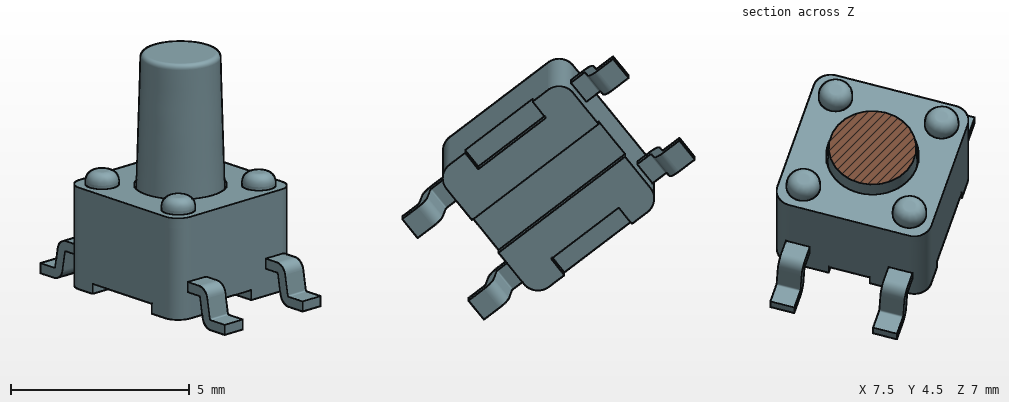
import math

import cadquery as cq

body_side = 4.5
body_corner_radius = 0.5
body_height = 3.0
standoff = 0.1
cover_thickness = 0.3
body_top = standoff + body_height
cover_bottom = body_top - cover_thickness

cutout_height = 0.3
channel_width = 1.2
notch_width = 2.4
notch_depth = 0.6

overall_height = 7.0
cover_hole_diameter = 2.6
button_base_diameter = 2.5
button_top_diameter = 2.25
button_edge_radius = 0.15

rivet_diameter = 0.95
rivet_height = 0.4
rivet_edge_radius = 0.3
rivet_pitch = 3.1

terminal_span = 7.5
terminal_pitch = 3.0
terminal_width = 0.7
terminal_thickness = 0.3
terminal_top = 1.2
terminal_bend_radius = 0.35
terminal_bend_angle = math.radians(80)
terminal_shoulder_x = 2.7
terminal_embed = 0.25


def block(width, depth, bottom, height):
    """Box centred on the Z axis, standing on the given level."""
    return cq.Workplane("XY").workplane(offset=bottom).rect(width, depth).extrude(height)


def make_housing():
    base = block(body_side, body_side, standoff, body_height - cover_thickness)
    cover = block(body_side, body_side, cover_bottom, cover_thickness)
    base = base.edges("|Z").fillet(body_corner_radius)
    cover = cover.edges("|Z").fillet(body_corner_radius)
    cover = cover.faces(">Z").workplane().hole(cover_hole_diameter)
    return base.union(cover, clean=False)


def cut_underside(housing):
    channel = block(body_side, channel_width, standoff, cutout_height)
    housing = housing.cut(channel, clean=False)
    notch = block(notch_width, notch_depth, standoff, cutout_height)
    notch_y = (body_side - notch_depth) / 2
    for side in (-1, 1):
        housing = housing.cut(notch.translate((0, side * notch_y, 0)), clean=False)
    return housing


def make_button():
    height = overall_height - cover_bottom
    button = (
        cq.Workplane("XY")
        .workplane(offset=cover_bottom)
        .circle(button_base_diameter / 2)
        .workplane(offset=height)
        .circle(button_top_diameter / 2)
        .loft(combine=True)
    )
    return button.faces(">Z").edges().fillet(button_edge_radius)


def make_rivets():
    return (
        cq.Workplane("XY")
        .workplane(offset=body_top)
        .rect(rivet_pitch, rivet_pitch, forConstruction=True)
        .vertices()
        .circle(rivet_diameter / 2)
        .extrude(rivet_height)
        .faces(">Z")
        .edges()
        .fillet(rivet_edge_radius)
    )


def make_terminal():
    """Terminal on the +X side, swept along its centre line in the XZ plane."""
    half_thickness = terminal_thickness / 2
    radius = terminal_bend_radius - half_thickness
    upper_z = terminal_top - half_thickness
    foot_z = half_thickness
    bend_run = radius * math.sin(terminal_bend_angle)
    bend_drop = radius * (1 - math.cos(terminal_bend_angle))
    slope_drop = upper_z - foot_z - 2 * bend_drop
    slope_run = slope_drop / math.tan(terminal_bend_angle)

    start_x = body_side / 2 - terminal_embed
    slope_start_x = terminal_shoulder_x + bend_run
    slope_end_x = slope_start_x + slope_run
    foot_start_x = slope_end_x + bend_run
    path = (
        cq.Workplane("XZ")
        .moveTo(start_x, upper_z)
        .lineTo(terminal_shoulder_x, upper_z)
        .tangentArcPoint((slope_start_x, upper_z - bend_drop), relative=False)
        .lineTo(slope_end_x, foot_z + bend_drop)
        .tangentArcPoint((foot_start_x, foot_z), relative=False)
        .lineTo(terminal_span / 2, foot_z)
    )
    section = cq.Workplane("YZ", origin=(start_x, 0, upper_z)).rect(terminal_width, terminal_thickness)
    return section.sweep(path)


def add_terminals(part):
    right_terminal = make_terminal()
    left_terminal = right_terminal.mirror("YZ")
    for side in (-1, 1):
        offset = (0, side * terminal_pitch / 2, 0)
        part = part.union(right_terminal.translate(offset), clean=False)
        part = part.union(left_terminal.translate(offset), clean=False)
    return part


housing = cut_underside(make_housing())
switch = housing.union(make_button(), clean=False).union(make_rivets(), clean=False)
result = add_terminals(switch)